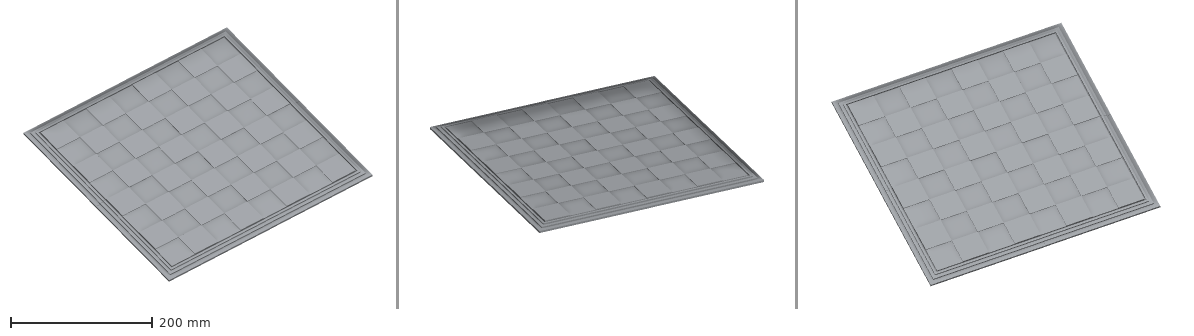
import cadquery as cq

board_width = 354.07
quarter_width = board_width / 2

tiles_per_quarter_side = 4
tile_size = 39.97
tile_relief = 1.0
field_reach = tiles_per_quarter_side * tile_size

base_top = 3.0
step_rise = 2.0
middle_step_top = base_top + step_rise
middle_step_inset = 7.0
upper_step_top = middle_step_top + step_rise
upper_step_inset = 12.0

groove_inset = 15.0
groove_depth = 2.0
groove_floor = upper_step_top - groove_depth

low_tile_top = upper_step_top
high_tile_top = low_tile_top + tile_relief

level_offset = 0.2

quarter_places = [
    (1, -1, 0),
    (-1, -1, level_offset),
    (1, 1, level_offset),
    (-1, 1, 2 * level_offset),
]


def block(x_start, y_start, size, bottom, top):
    """Square block with its inner corner at (x_start, y_start)."""
    return (
        cq.Workplane("XY", origin=(x_start, y_start, bottom))
        .rect(size, size, centered=False)
        .extrude(top - bottom)
    )


def stepped_border():
    """Base plate with its two border steps and the groove around the field."""
    body = block(0, 0, quarter_width, 0, base_top)
    body = body.union(block(0, 0, quarter_width - middle_step_inset, 0, middle_step_top))
    body = body.union(block(0, 0, quarter_width - upper_step_inset, 0, upper_step_top))
    groove = block(0, 0, quarter_width - groove_inset, groove_floor, upper_step_top)
    field = block(0, 0, field_reach, groove_floor, low_tile_top)
    return body.cut(groove.cut(field))


def board_quarter(corner_tile_is_high):
    """Quarter with its inner corner at the origin, spreading toward +X and +Y."""
    body = stepped_border()
    high_parity = 0 if corner_tile_is_high else 1
    for column in range(tiles_per_quarter_side):
        for row in range(tiles_per_quarter_side):
            if (column + row) % 2 == high_parity:
                tile = block(column * tile_size, row * tile_size, tile_size, groove_floor, high_tile_top)
                body = body.union(tile)
    return body


def placed_quarter(x_side, y_side, underside):
    """Quarter mirrored to its side of the board and set at its height."""
    body = board_quarter(corner_tile_is_high=x_side == y_side)
    if x_side < 0:
        body = body.mirror("YZ")
    if y_side < 0:
        body = body.mirror("XZ")
    return body.translate((0, 0, underside))


quarters = [placed_quarter(*place) for place in quarter_places]

result = cq.Compound.makeCompound([quarter.solids().val() for quarter in quarters])